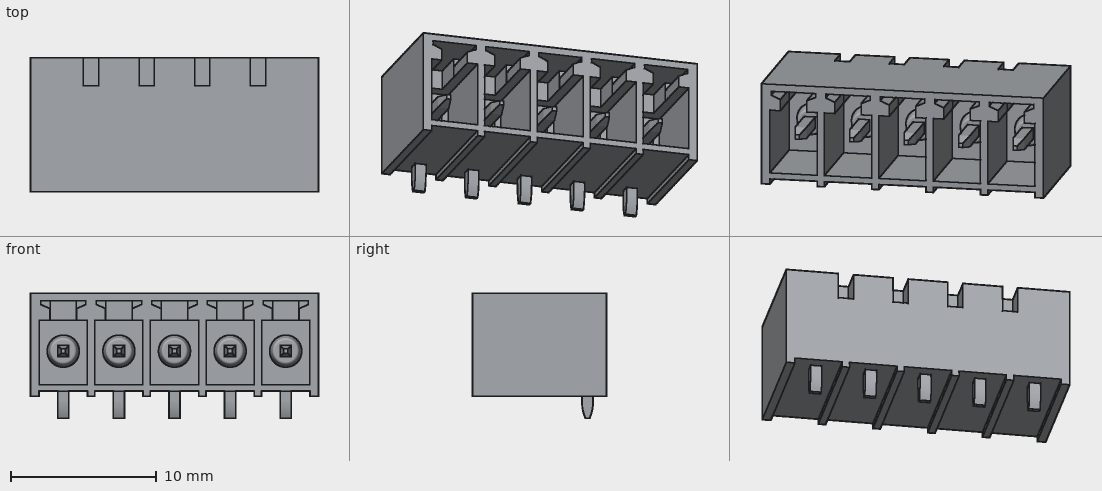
import cadquery as cq


pin_count = 5
pitch = 3.81
end_margin = 2.25
housing_length = (pin_count - 1) * pitch + 2 * end_margin
housing_depth = 9.2
housing_height = 7.07
first_cell_x = -(pin_count - 1) * pitch / 2
cell_positions = [first_cell_x + i * pitch for i in range(pin_count)]

cell_width = 3.3
cell_floor_z = 0.8
cell_top_z = 5.23
cell_depth = 6.5
underside_gap_height = 0.37

groove_top_z = 6.57
groove_width = 3.11
groove_side_height = 0.27
lip_top_z = 6.02
opening_width = 1.84
slot_width = 1.81
undercut_depth = 3.0
slot_depth = 5.5

notch_width = 1.05
notch_depth = 1.92
notch_bottom_z = cell_top_z

collar_base_radius = 1.1
collar_tip_radius = 0.88
collar_fillet = 0.17
collar_length = 1.0

pin_size = 0.78
pin_tip_size = 0.3
pin_axis_z = 3.1
pin_front_y = 1.3
pin_taper_length = 1.2
leg_center_y = 7.89
leg_front_y = leg_center_y - pin_size / 2
leg_back_y = leg_center_y + pin_size / 2
leg_length = 1.5
leg_straight_length = 0.37
leg_point_height = leg_length - leg_straight_length
leg_point_inset = (pin_size - pin_tip_size) / 2
leg_point_radius = (leg_point_height**2 + leg_point_inset**2) / (2 * leg_point_inset)
pin_top_z = pin_axis_z + pin_size / 2
pin_bottom_z = pin_axis_z - pin_size / 2


def box(x_center, width, y_range, z_range):
    """Box centred on x_center that spans the given Y and Z ranges."""
    y_start, y_end = y_range
    z_start, z_end = z_range
    return (
        cq.Workplane("XY")
        .box(width, y_end - y_start, z_end - z_start, centered=(True, False, False))
        .translate((x_center, y_start, z_start))
    )


def undercut_cutter(x):
    """Front part of the coding groove: wide at the top, with sloping lips below."""
    half_groove = groove_width / 2
    half_opening = opening_width / 2
    side_bottom_z = groove_top_z - groove_side_height
    return (
        cq.Workplane("XZ", origin=(x, 0, 0))
        .moveTo(-half_groove, groove_top_z)
        .lineTo(half_groove, groove_top_z)
        .lineTo(half_groove, side_bottom_z)
        .lineTo(half_opening, lip_top_z)
        .lineTo(half_opening, cell_top_z)
        .lineTo(-half_opening, cell_top_z)
        .lineTo(-half_opening, lip_top_z)
        .lineTo(-half_groove, side_bottom_z)
        .close()
        .extrude(-undercut_depth)
    )


def make_collar(x):
    """Cone narrowing toward the front, with its front rim rounded."""
    return (
        cq.Workplane("XZ", origin=(x, cell_depth, pin_axis_z))
        .circle(collar_base_radius)
        .workplane(offset=collar_length)
        .circle(collar_tip_radius)
        .loft()
        .faces("<Y")
        .edges()
        .fillet(collar_fillet)
    )


def make_pin(x):
    """Square pin: pointed contact to the front, bent down into a rounded solder leg."""
    taper_back_y = pin_front_y + pin_taper_length
    leg_bottom_z = -leg_length
    half_tip = pin_tip_size / 2
    body = (
        cq.Workplane("YZ", origin=(x, 0, 0))
        .moveTo(taper_back_y, pin_top_z)
        .lineTo(leg_back_y, pin_top_z)
        .lineTo(leg_back_y, -leg_straight_length)
        .radiusArc((leg_center_y + half_tip, leg_bottom_z), leg_point_radius)
        .lineTo(leg_center_y - half_tip, leg_bottom_z)
        .radiusArc((leg_front_y, -leg_straight_length), leg_point_radius)
        .lineTo(leg_front_y, pin_bottom_z)
        .lineTo(taper_back_y, pin_bottom_z)
        .close()
        .extrude(pin_size / 2, both=True)
    )
    point = (
        cq.Workplane("XZ", origin=(x, taper_back_y, pin_axis_z))
        .rect(pin_size, pin_size)
        .workplane(offset=pin_taper_length)
        .rect(pin_tip_size, pin_tip_size)
        .loft()
    )
    return body.union(point)


def make_housing(pins):
    housing = box(0, housing_length, (0, housing_depth), (0, housing_height))
    for x in cell_positions:
        housing = housing.cut(box(x, cell_width, (0, cell_depth), (cell_floor_z, cell_top_z)))
        housing = housing.cut(box(x, cell_width, (0, housing_depth), (0, underside_gap_height)))
        housing = housing.cut(undercut_cutter(x))
        housing = housing.cut(box(x, slot_width, (0, slot_depth), (cell_top_z, groove_top_z)))
        housing = housing.union(make_collar(x))
    for x in cell_positions[:-1]:
        notch_y = (housing_depth - notch_depth, housing_depth)
        notch_z = (notch_bottom_z, housing_height)
        housing = housing.cut(box(x + pitch / 2, notch_width, notch_y, notch_z))
    for pin in pins:
        housing = housing.cut(pin)
    return housing


pins = [make_pin(x) for x in cell_positions]
housing = make_housing(pins)

result = cq.Compound.makeCompound([housing.val()] + [pin.val() for pin in pins])